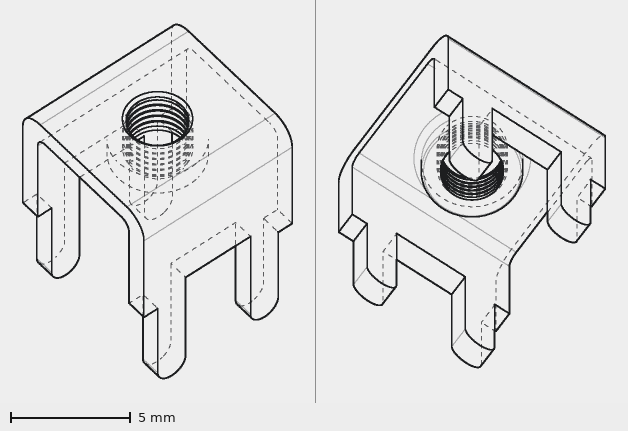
import cadquery as cq

width = 8.0
depth = 8.0
height = 11.2
thickness = 1.0
bend_outer_radius = 1.14
bend_inner_radius = 0.5

shoulder_height = 5.0
slot_top = 5.88
pin_width = 1.5
pin_spacing = 5.0

collar_diameter = 4.25
collar_bottom = height - 2.34
collar_root_radius = 0.31
collar_rim_radius = 0.09

hole_diameter = 2.62
countersink_depth = 0.16
thread_pitch = 0.36
thread_depth = 0.16
thread_crest = 0.08
thread_start = height - 0.36
thread_count = 5

plate_underside = height - thickness
collar_radius = collar_diameter / 2
hole_radius = hole_diameter / 2


def make_bracket():
    """U-shaped sheet with rounded bends running along Y."""
    outer = (
        cq.Workplane("XY")
        .box(width, depth, height, centered=(True, True, False))
        .edges("|Y and >Z")
        .fillet(bend_outer_radius)
    )
    inner = (
        cq.Workplane("XY")
        .box(width - 2 * thickness, depth, plate_underside, centered=(True, True, False))
        .edges("|Y and >Z")
        .fillet(bend_inner_radius)
    )
    return outer.cut(inner)


def make_side_profile():
    """Side outline with two round-ended pins, extended through the full width."""
    upper_height = height - slot_top
    profile = cq.Workplane("XY").box(width, depth, upper_height, centered=(True, True, False))
    profile = profile.translate((0, 0, slot_top))
    tip_radius = pin_width / 2
    shoulder_inner = pin_spacing / 2 - tip_radius
    for side in (-1, 1):
        center = side * pin_spacing / 2
        pin = (
            cq.Workplane("YZ")
            .moveTo(center - tip_radius, slot_top)
            .lineTo(center - tip_radius, tip_radius)
            .threePointArc((center, 0), (center + tip_radius, tip_radius))
            .lineTo(center + tip_radius, slot_top)
            .close()
            .extrude(width / 2, both=True)
        )
        shoulder = (
            cq.Workplane("YZ")
            .moveTo(side * shoulder_inner, shoulder_height)
            .lineTo(side * depth / 2, shoulder_height)
            .lineTo(side * depth / 2, slot_top)
            .lineTo(side * shoulder_inner, slot_top)
            .close()
            .extrude(width / 2, both=True)
        )
        profile = profile.union(pin).union(shoulder)
    return profile


def make_collar():
    """Solid collar with a concave root fillet and a slightly rounded lower rim."""
    body = (
        cq.Workplane("XY", origin=(0, 0, collar_bottom))
        .circle(collar_radius)
        .extrude(height - collar_bottom)
        .faces("<Z")
        .edges()
        .fillet(collar_rim_radius)
    )
    root_edge = collar_radius + collar_root_radius
    root_bottom = plate_underside - collar_root_radius
    diagonal = collar_root_radius / 2**0.5
    root = (
        cq.Workplane("XZ")
        .moveTo(0, root_bottom)
        .lineTo(collar_radius, root_bottom)
        .threePointArc((root_edge - diagonal, root_bottom + diagonal), (root_edge, plate_underside))
        .lineTo(0, plate_underside)
        .close()
        .revolve(360, (0, 0), (0, 1))
    )
    return body.union(root)


def make_threaded_hole():
    """Cutter for the bore, its 45 degree countersink and the thread grooves."""
    outline = (
        cq.Workplane("XZ")
        .moveTo(0, height)
        .lineTo(hole_radius + countersink_depth, height)
        .lineTo(hole_radius, height - countersink_depth)
    )
    groove_height = thread_pitch - thread_crest
    for index in range(thread_count):
        groove_top = thread_start - index * thread_pitch
        outline = (
            outline.lineTo(hole_radius, groove_top)
            .lineTo(hole_radius + thread_depth, groove_top - groove_height / 2)
            .lineTo(hole_radius, groove_top - groove_height)
        )
    return (
        outline.lineTo(hole_radius, collar_bottom)
        .lineTo(0, collar_bottom)
        .close()
        .revolve(360, (0, 0), (0, 1))
    )


bracket = make_bracket().intersect(make_side_profile())
result = bracket.union(make_collar()).cut(make_threaded_hole())